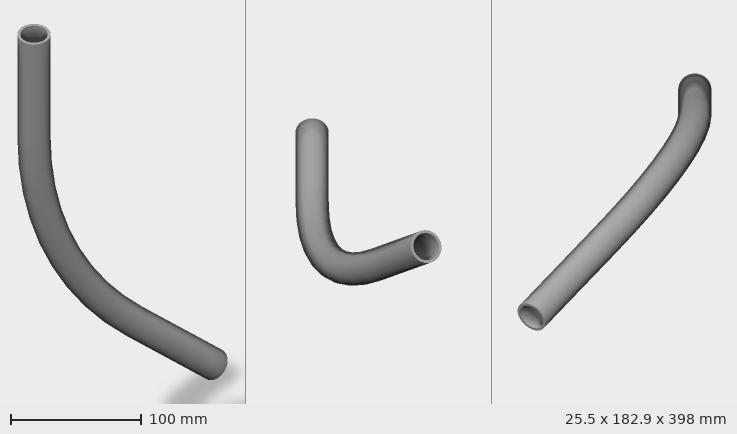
import cadquery as cq
import math

overall_height = 398.0
outer_diameter = 25.5
inner_diameter = 21.0
leg_length = 101.0
bend_angle = math.radians(45)

outer_radius = outer_diameter / 2

bend_height = (
    overall_height
    - leg_length
    - leg_length * math.cos(bend_angle)
    - outer_radius * math.sin(bend_angle)
)
bend_radius = bend_height / math.sin(bend_angle)


def bend_point(angle):
    """Centerline point (Y, Z) after turning by angle from the upright leg."""
    return (
        bend_radius * (1 - math.cos(angle)),
        -leg_length - bend_radius * math.sin(angle),
    )


bend_end_y, bend_end_z = bend_point(bend_angle)
slope_end = (
    bend_end_y + leg_length * math.sin(bend_angle),
    bend_end_z - leg_length * math.cos(bend_angle),
)
centerline = (
    cq.Workplane("YZ")
    .moveTo(0, 0)
    .lineTo(0, -leg_length)
    .threePointArc(bend_point(bend_angle / 2), (bend_end_y, bend_end_z))
    .lineTo(*slope_end)
)

result = (
    cq.Workplane("XY")
    .circle(outer_radius)
    .circle(inner_diameter / 2)
    .sweep(centerline)
)